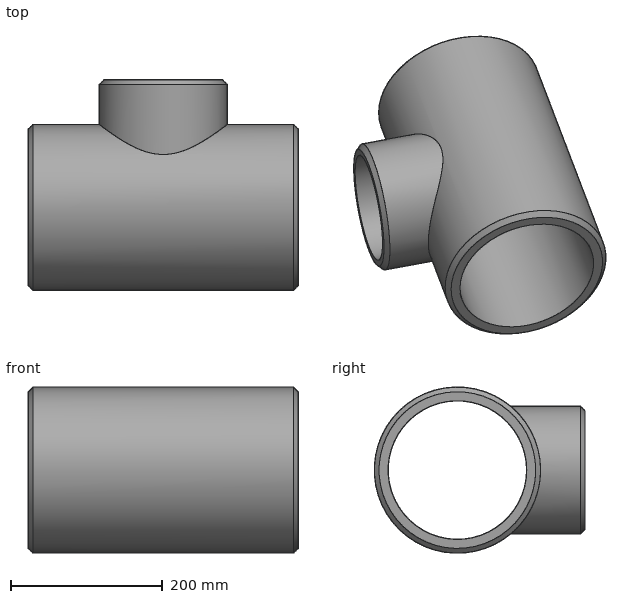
import cadquery as cq

run_length = 355.5
run_diameter = 219.0
run_bore = 182.0
branch_diameter = 169.0
branch_reach = 168.2
end_chamfer = 6.5

branch_bore = branch_diameter * run_bore / run_diameter


def run_cylinder(diameter):
    """Cylinder along X, centred on the origin."""
    return cq.Workplane("YZ").circle(diameter / 2).extrude(run_length / 2, both=True)


def branch_cylinder(diameter):
    """Cylinder from the run axis to the branch end face."""
    return cq.Workplane("XZ").circle(diameter / 2).extrude(-branch_reach)


run = run_cylinder(run_diameter).faces("<X or >X").chamfer(end_chamfer)
branch = branch_cylinder(branch_diameter).faces(">Y").chamfer(end_chamfer)

result = (
    run.union(branch)
    .cut(run_cylinder(run_bore))
    .cut(branch_cylinder(branch_bore))
)